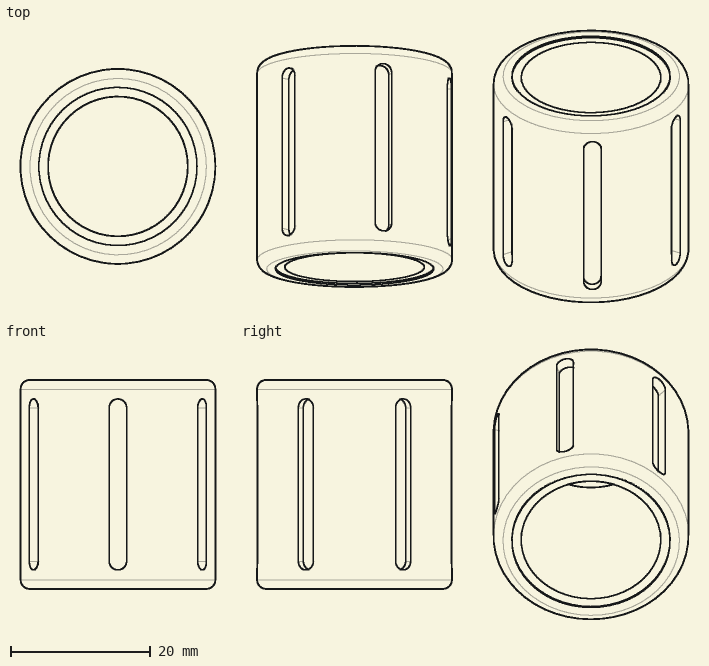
import cadquery as cq

height = 30.0
outer_diameter = 28.0
bore_diameter = 20.0
edge_radius = 1.35

recess_diameter = 22.68
recess_depth = 0.25

slot_count = 6
slot_length = 24.5
slot_width = 2.5
slot_floor_radius = 12.5
first_slot_angle = 30.0
cutter_clearance = 0.3


def make_sleeve():
    """Tube with rounded outer rims, centred on the origin."""
    body = cq.Workplane("XY").cylinder(height, outer_diameter / 2)
    body = body.faces("|Z").edges().fillet(edge_radius)
    bore = cq.Workplane("XY").cylinder(height, bore_diameter / 2)
    return body.cut(bore)


def make_end_recess(floor_z, direction):
    """Disc that sinks the inner part of one end face."""
    return (
        cq.Workplane("XY")
        .workplane(offset=floor_z)
        .circle(recess_diameter / 2)
        .extrude(direction * recess_depth)
    )


def make_slot(angle):
    """Round-ended axial slot cutter, pointing outwards at the given angle."""
    cut_depth = outer_diameter / 2 - slot_floor_radius + cutter_clearance
    slot = (
        cq.Workplane("YZ")
        .workplane(offset=slot_floor_radius)
        .slot2D(slot_length, slot_width, 90)
        .extrude(cut_depth)
    )
    return slot.rotate((0, 0, 0), (0, 0, 1), angle)


result = make_sleeve()

for end in (-1, 1):
    recess_floor_z = end * (height / 2 - recess_depth)
    result = result.cut(make_end_recess(recess_floor_z, end))

for index in range(slot_count):
    slot_angle = first_slot_angle + index * 360 / slot_count
    result = result.cut(make_slot(slot_angle))